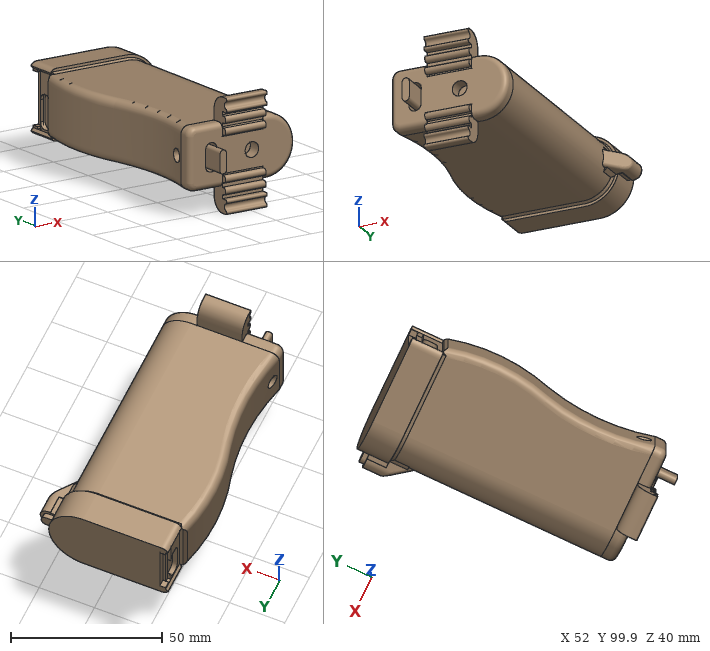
import cadquery as cq
import math


cap_thickness = 4.75
collar_start = 81.6
grip_end = 92.9
grip_radius = 11.0
grip_edge_fillet = 3.0
left_bottom_x = -31.7
left_hollow_x = -29.25
left_hollow_y = 24.0
left_joint_x = -31.6
left_joint_y = 43.5
left_bulge_x = -34.51
left_bulge_y = 62.0
left_top_x = -32.0
left_top_chamfer = 0.9
flare_height = 1.3
flare_overhang = 0.5
flare_left_x = -30.0

screw_y = 8.65
screw_mouth_diameter = 5.0
screw_bottom_diameter = 2.2
screw_mouth_x = -31.0
screw_recess_depth = 2.5

collar_radius = 12.5
collar_left_x = -31.25
collar_corner = 3.05
channel_mouth_half_height = 11.2
channel_mouth_x = -30.7
channel_half_height = 10.2
channel_floor_x = -29.8
groove_start = 88.5
groove_end = 90.4
groove_floor_x = -28.6
lip_half_height = 9.4
lip_floor_x = -27.7
window_start = 83.3
window_end = 88.5
window_bottom_z = -9.5
window_top_z = 2.6
window_radius = 2.2
window_depth = 1.8

hook_x = 17.48
hook_radius = 3.06
hook_root_x = 8.0
hook_shoulder_y = 88.6
hook_top_y = 90.4
hook_ramp_foot_x = 10.8
hook_ramp_foot_y = 72.7
hook_ramp_fillet = 1.1
tongue_radius = 1.9
neck_x = 13.8
neck_half_width = 2.8
hook_web_y = 74.9
hook_web_root = (10.0, 4.5)
hook_web_tip_x = 11.4

cap_left_x = -31.75
cap_corner = 3.0
cap_face_fillet = 2.0
port_x = -6.4
port_diameter = 5.4

plug_x = -22.8
plug_length = 7.02
plug_width = 8.3
plug_thickness = 2.6
opening_width = 10.1
opening_thickness = 4.5

jaw_x_min = -18.3
jaw_length = 16.3
jaw_inner_z = 6.4
jaw_outer_z = 20.0
jaw_back_radius = 5.0
outer_tip_y = -2.55
outer_flank_y = -1.9
outer_valley_y = -1.2
outer_valley_z = 17.5
outer_crest_zs = (19.4, 15.5)
outer_valley_top = (-2.1, 18.7)
outer_valley_bottom = (-2.2, 16.2)
second_tooth_bottom_z = 14.95
inner_tip_y = -1.95
inner_flank_y = -1.0
inner_tooth_zs = (12.25, 8.15)
inner_tooth_half_width = 1.22
inner_root_bevel_y = -0.5
inner_root_bevel_z = 0.4


def rounded_grip_section(radius, left_x, corner, y_start, length):
    """Bar along +Y with a flat -X side and a half-round +X side."""
    bar = (
        cq.Workplane("XZ", origin=(0, y_start, 0))
        .moveTo(left_x, -radius)
        .lineTo(0, -radius)
        .threePointArc((radius, 0), (0, radius))
        .lineTo(left_x, radius)
        .close()
        .extrude(-length)
    )
    if corner > 0:
        bar = bar.edges("|Y").edges("<X").fillet(corner)
    return bar


def wavy_grip():
    """Grip whose -X side is a hollow followed by a bulge, with rounded long edges."""
    outline = (
        cq.Workplane("XY")
        .moveTo(grip_radius, cap_thickness)
        .lineTo(left_bottom_x, cap_thickness)
        .threePointArc((left_hollow_x, left_hollow_y), (left_joint_x, left_joint_y))
        .threePointArc((left_bulge_x, left_bulge_y), (left_top_x, collar_start))
        .lineTo(grip_radius, collar_start)
        .close()
        .extrude(grip_radius, both=True)
    )
    outline = outline.edges("|Z").edges(">Y").edges("<X").chamfer(left_top_chamfer)
    left_edges = cq.selectors.BoxSelector(
        (left_bulge_x - 1, cap_thickness + 1, -grip_radius - 1),
        (left_hollow_x + 1, collar_start - left_top_chamfer, grip_radius + 1),
    )
    outline = outline.edges(left_edges).edges("not |Z").fillet(grip_edge_fillet)
    envelope = rounded_grip_section(
        grip_radius, left_bulge_x - 1, 0, cap_thickness, collar_start - cap_thickness
    )
    return outline.intersect(envelope)


def collar_flare():
    """Sloping band that widens the grip where it runs into the collar."""
    taper = math.degrees(math.atan2(flare_overhang, flare_height))
    return (
        cq.Workplane("XZ", origin=(0, collar_start - flare_height, 0))
        .moveTo(flare_left_x, -grip_radius)
        .lineTo(0, -grip_radius)
        .threePointArc((grip_radius, 0), (0, grip_radius))
        .lineTo(flare_left_x, grip_radius)
        .close()
        .extrude(-flare_height, taper=-taper)
    )


def channel_part(floor_x, y_start, y_end, half_height):
    """Block that opens the -X side of the collar down to floor_x."""
    depth = floor_x - collar_left_x
    return (
        cq.Workplane("XY")
        .box(depth, y_end - y_start, 2 * half_height, centered=(False, False, True))
        .translate((collar_left_x, y_start, 0))
    )


def channel_mouth():
    """Full-length channel with sloping sides that leave the plates with sharp tips."""
    return (
        cq.Workplane("XZ", origin=(0, collar_start, 0))
        .moveTo(collar_left_x, -channel_mouth_half_height)
        .lineTo(channel_mouth_x, -channel_mouth_half_height)
        .lineTo(channel_floor_x, -channel_half_height)
        .lineTo(channel_floor_x, channel_half_height)
        .lineTo(channel_mouth_x, channel_mouth_half_height)
        .lineTo(collar_left_x, channel_mouth_half_height)
        .close()
        .extrude(collar_start - grip_end)
    )


def collar():
    """Collar with a stepped channel and a shallow window in its -X side."""
    body = rounded_grip_section(
        collar_radius, collar_left_x, collar_corner, collar_start, grip_end - collar_start
    )
    body = body.cut(channel_mouth())
    body = body.cut(channel_part(groove_floor_x, groove_start, groove_end, channel_half_height))
    body = body.cut(channel_part(lip_floor_x, groove_end, grip_end, lip_half_height))
    window = (
        cq.Workplane("XY")
        .box(window_depth, window_end - window_start, window_top_z - window_bottom_z, centered=False)
        .edges("|X")
        .fillet(window_radius)
        .translate((channel_floor_x, window_start, window_bottom_z))
    )
    return body.cut(window)


def round_nosed_bar(nose_x, radius, y_start, y_end):
    """Bar along +Y that starts at the hook root and ends in a half-round nose."""
    centre_x = nose_x - radius
    return (
        cq.Workplane("XZ", origin=(0, y_start, 0))
        .moveTo(hook_root_x, -radius)
        .lineTo(centre_x, -radius)
        .threePointArc((nose_x, 0), (centre_x, radius))
        .lineTo(hook_root_x, radius)
        .close()
        .extrude(y_start - y_end)
    )


def hook():
    """Ramped hook with a tongue on its shoulder, a thinner neck and a web at its foot."""
    ramp_side = (
        cq.Workplane("XY")
        .moveTo(hook_root_x, hook_ramp_foot_y)
        .lineTo(hook_ramp_foot_x, hook_ramp_foot_y)
        .lineTo(hook_x, collar_start)
        .lineTo(hook_x, hook_shoulder_y)
        .lineTo(hook_root_x, hook_shoulder_y)
        .close()
        .extrude(hook_radius, both=True)
    )
    ramp_side = ramp_side.intersect(
        round_nosed_bar(hook_x, hook_radius, hook_ramp_foot_y, hook_shoulder_y)
    )
    ramp_mid = (
        (hook_ramp_foot_x + hook_x) / 2,
        (hook_ramp_foot_y + collar_start) / 2,
        0,
    )
    ramp_face = ramp_side.faces(cq.selectors.NearestToPointSelector(ramp_mid))
    ramp_side = ramp_face.edges("not |Z").fillet(hook_ramp_fillet)
    flank_step = (
        cq.Workplane("XY")
        .box(neck_x - hook_root_x, hook_shoulder_y - collar_start, hook_radius, centered=False)
        .translate((hook_root_x, collar_start, neck_half_width))
    )
    ramp_side = ramp_side.cut(flank_step).cut(flank_step.mirror("XY"))
    tongue_nose_x = hook_x - hook_radius + tongue_radius
    tongue = round_nosed_bar(tongue_nose_x, tongue_radius, hook_shoulder_y, hook_top_y)
    root_x, root_half_width = hook_web_root
    web = (
        cq.Workplane("XZ", origin=(0, hook_web_y, 0))
        .moveTo(hook_root_x, -root_half_width)
        .lineTo(root_x, -root_half_width)
        .lineTo(hook_web_tip_x, -hook_radius)
        .lineTo(hook_web_tip_x, hook_radius)
        .lineTo(root_x, root_half_width)
        .lineTo(hook_root_x, root_half_width)
        .close()
        .extrude(hook_web_y - collar_start)
    )
    return ramp_side.union(tongue).union(web)


def screw_recess():
    """Conical recess with a flat bottom, opening on the -X side."""
    slope = (screw_mouth_diameter - screw_bottom_diameter) / 2 / screw_recess_depth
    lead_in = 1.0
    cone = cq.Solid.makeCone(
        screw_mouth_diameter / 2 + slope * lead_in,
        screw_bottom_diameter / 2,
        screw_recess_depth + lead_in,
        pnt=cq.Vector(screw_mouth_x - lead_in, screw_y, 0),
        dir=cq.Vector(1, 0, 0),
    )
    return cq.Workplane(cone)


def jaw():
    """Upper jaw: a plate rounded at the back, with four teeth along its front."""
    back = jaw_back_radius
    front_y = cap_thickness - back
    bend = back * math.sin(math.radians(45))
    back_top_z = jaw_outer_z - back
    first_crest_z, second_crest_z = outer_crest_zs
    outline = (
        cq.Workplane("YZ", origin=(jaw_x_min, 0, 0))
        .moveTo(cap_thickness, jaw_inner_z)
        .lineTo(cap_thickness, back_top_z)
        .threePointArc((front_y + bend, back_top_z + bend), (front_y, jaw_outer_z))
        .lineTo(outer_flank_y, jaw_outer_z)
        .threePointArc((outer_tip_y, first_crest_z), outer_valley_top)
        .threePointArc((outer_valley_y, outer_valley_z), outer_valley_bottom)
        .threePointArc((outer_tip_y, second_crest_z), (outer_flank_y, second_tooth_bottom_z))
        .lineTo(0, second_tooth_bottom_z)
    )
    for tooth_z in inner_tooth_zs:
        top_z = tooth_z + inner_tooth_half_width
        bottom_z = tooth_z - inner_tooth_half_width
        outline = (
            outline.lineTo(0, top_z + inner_root_bevel_z)
            .lineTo(inner_root_bevel_y, top_z)
            .lineTo(inner_flank_y, top_z)
            .threePointArc((inner_tip_y, tooth_z), (inner_flank_y, bottom_z))
            .lineTo(0, bottom_z)
        )
    return outline.lineTo(0, jaw_inner_z).close().extrude(jaw_length)


def round_edged_bar(y_start, length, width, thickness):
    """Bar along +Y with full-round edges, centred on the plug axis."""
    return (
        cq.Workplane("XZ", origin=(plug_x, y_start, 0))
        .slot2D(width, thickness, 90)
        .extrude(-length)
    )


def end_cap():
    """Cap with rounded face edges, the plug opening and a round hole."""
    body = rounded_grip_section(grip_radius, cap_left_x, cap_corner, 0, cap_thickness)
    body = body.faces("<Y").edges().fillet(cap_face_fillet)
    opening = round_edged_bar(0, cap_thickness, opening_width, opening_thickness)
    port = (
        cq.Workplane("XZ", origin=(port_x, 0, 0))
        .circle(port_diameter / 2)
        .extrude(-cap_thickness)
    )
    return body.cut(opening).cut(port)


housing = wavy_grip().union(collar_flare()).union(collar()).union(hook()).cut(screw_recess())

plug = round_edged_bar(-plug_length, plug_length + cap_thickness, plug_width, plug_thickness)

upper_jaw = jaw()
jaws = [upper_jaw, upper_jaw.mirror("XY")]

cap = end_cap()
for toothed_jaw in jaws:
    cap = cap.cut(toothed_jaw)

result = cq.Compound.makeCompound(
    [housing.val(), cap.val(), plug.val(), *[toothed_jaw.val() for toothed_jaw in jaws]]
)